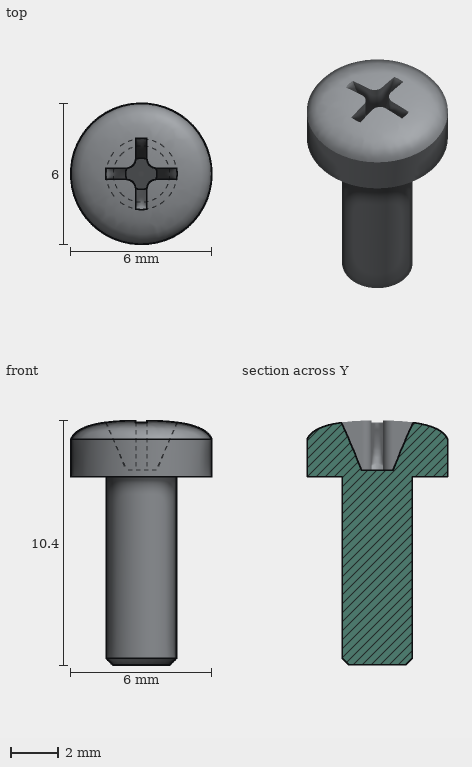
import cadquery as cq
import math

shank_diameter = 3.0
shank_length = 8.0
tip_chamfer = 0.3
head_diameter = 6.0
head_rim_height = 1.6
crown_height = 0.8

crown_shoulder_radius = 2.75
crown_shoulder_rise = 0.53
crown_flat_radius = 1.9

wing_width = 0.48
recess_floor_diameter = 1.33
recess_depth = 2.1
recess_wall_angle = 23.0
corner_radius = 0.4

shank_radius = shank_diameter / 2
head_radius = head_diameter / 2
rim_top_z = shank_length + head_rim_height
apex_z = rim_top_z + crown_height
recess_floor_z = apex_z - recess_depth
recess_blank_height = recess_depth + crown_height


def make_shank():
    """Plain cylinder with a chamfered tip."""
    shank = cq.Workplane("XY").circle(shank_radius).extrude(shank_length)
    return shank.faces("<Z").chamfer(tip_chamfer)


def make_head():
    """Straight rim topped by a domed crown, revolved about Z."""
    crown_control_points = [
        (head_radius, rim_top_z),
        (crown_shoulder_radius, rim_top_z + crown_shoulder_rise),
        (crown_flat_radius, apex_z),
        (0, apex_z),
    ]
    return (
        cq.Workplane("XZ")
        .moveTo(0, shank_length)
        .lineTo(head_radius, shank_length)
        .lineTo(head_radius, rim_top_z)
        .bezier(crown_control_points)
        .close()
        .revolve(360, (0, 0, 0), (0, 1, 0))
    )


def make_cross_prism():
    """Straight-walled cross with rounded inner corners, standing on the recess floor."""
    floor = cq.Workplane("XY", origin=(0, 0, recess_floor_z))
    wing_along_x = floor.rect(head_diameter, wing_width).extrude(recess_blank_height)
    wing_along_y = floor.rect(wing_width, head_diameter).extrude(recess_blank_height)
    cross = wing_along_x.union(wing_along_y)
    inner_corners = cq.selectors.BoxSelector(
        (-wing_width, -wing_width, recess_floor_z),
        (wing_width, wing_width, recess_floor_z + recess_blank_height),
    )
    return cross.edges("|Z").edges(inner_corners).fillet(corner_radius)


def make_recess_cone():
    """Cone that narrows downwards and gives the wings their sloping ends."""
    floor_radius = recess_floor_diameter / 2
    spread = recess_blank_height * math.tan(math.radians(recess_wall_angle))
    return (
        cq.Workplane("XY", origin=(0, 0, recess_floor_z))
        .circle(floor_radius)
        .workplane(offset=recess_blank_height)
        .circle(floor_radius + spread)
        .loft(ruled=True)
    )


recess = make_cross_prism().intersect(make_recess_cone())
result = make_head().union(make_shank()).cut(recess)